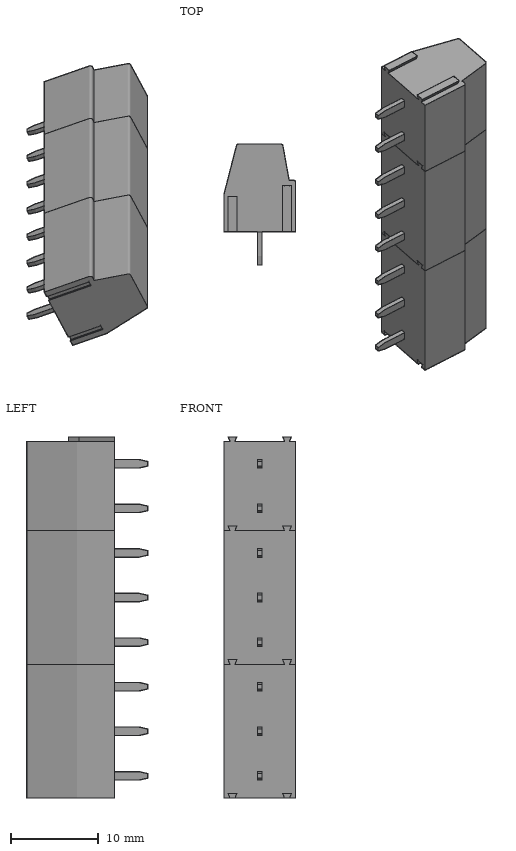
import cadquery as cq

total_height = 41.15
width = 8.2
depth = 10.0
rail_height = 0.55
block_poles = [3, 3, 2]
pitch = (total_height - rail_height) / sum(block_poles)

left_wall_depth = 4.25
right_wall_depth = 5.9
step_width = 0.75
back_inset = 1.5
edge_radius = 0.3

rail_side_distance = 1.0
rail_wide = 1.0
rail_narrow = 0.58
left_rail_length = 4.05
right_rail_length = 5.25

pin_width = 0.55
pin_height = 1.0
pin_length = 3.8
pin_taper_length = 1.0
pin_tip_height = 0.55


def make_housing(height):
    """Plain block of the given height, standing on Z = 0."""
    back_edges = [
        (back_inset, depth),
        (width - back_inset, depth),
        (width, right_wall_depth),
    ]
    housing = (
        cq.Workplane("XY")
        .moveTo(0, 0)
        .lineTo(width, 0)
        .lineTo(width, right_wall_depth)
        .lineTo(width - step_width, right_wall_depth)
        .lineTo(width - back_inset, depth)
        .lineTo(back_inset, depth)
        .lineTo(0, left_wall_depth)
        .close()
        .extrude(height)
    )
    for x, y in back_edges:
        corner = cq.selectors.NearestToPointSelector((x, y, height / 2))
        housing = housing.edges(corner).fillet(edge_radius)
    return housing


def make_rail(center_x, length, base_z):
    """Dovetail bar along Y that starts at the front face and widens upwards."""
    top_z = base_z + rail_height
    return (
        cq.Workplane("XZ")
        .moveTo(center_x - rail_narrow / 2, base_z)
        .lineTo(center_x + rail_narrow / 2, base_z)
        .lineTo(center_x + rail_wide / 2, top_z)
        .lineTo(center_x - rail_wide / 2, top_z)
        .close()
        .extrude(-length)
    )


def make_rail_pair(base_z):
    left = make_rail(rail_side_distance, left_rail_length, base_z)
    right = make_rail(width - rail_side_distance, right_rail_length, base_z)
    return [left, right]


def make_pin(center_z):
    """Flat pin that leaves the front face towards -Y and narrows at its tip."""
    taper_start = pin_length - pin_taper_length
    return (
        cq.Workplane("YZ", origin=(width / 2, 0, center_z))
        .moveTo(0, -pin_height / 2)
        .lineTo(-taper_start, -pin_height / 2)
        .lineTo(-pin_length, -pin_tip_height / 2)
        .lineTo(-pin_length, pin_tip_height / 2)
        .lineTo(-taper_start, pin_height / 2)
        .lineTo(0, pin_height / 2)
        .close()
        .extrude(pin_width / 2, both=True)
    )


def make_terminal_block(poles):
    """One block with its pins, rails on top and matching grooves underneath."""
    height = poles * pitch
    block = make_housing(height)
    for groove in make_rail_pair(0):
        block = block.cut(groove)
    for rail in make_rail_pair(height):
        block = block.union(rail)
    for pole in range(poles):
        block = block.union(make_pin((pole + 0.5) * pitch))
    return block


terminal_blocks = []
base_z = 0
for poles in block_poles:
    block = make_terminal_block(poles).translate((0, 0, base_z))
    terminal_blocks.append(block.solids().val())
    base_z += poles * pitch

result = cq.Compound.makeCompound(terminal_blocks)